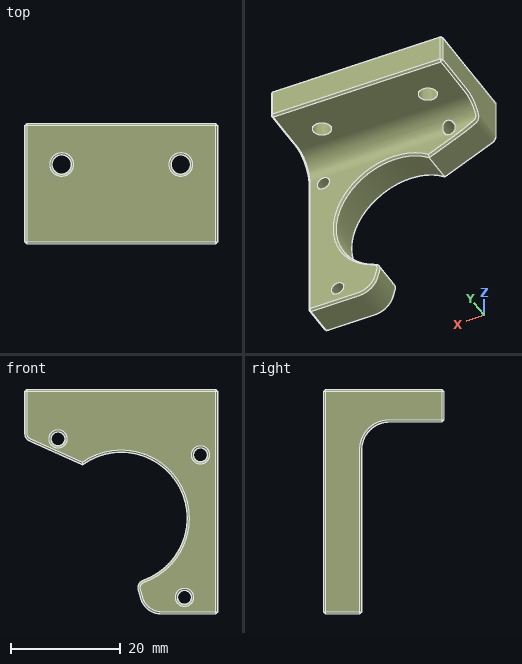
import cadquery as cq
import math

width = 35.2
depth = 22.0
height = 41.0
flange_thickness = 6.0
plate_thickness = 7.0
inner_fillet = 5.0
edge_chamfer = 0.4
blend_cosine = 0.99

bore_x = width / 2
bore_z = 17.5
bore_radius = 12.0
upper_tip_angle = math.radians(126)
lower_tip_angle = math.radians(283)

shoulder_z = 32.0
shoulder_fillet = 1.48
heel_x = 21.95
heel_fillet = 4.0
lip_fillet = 1.48

plate_hole_circle = 18.5
plate_hole_diameter = 2.5
plate_hole_angles = (-51.4, 38.6, 128.6)

flange_hole_diameter = 3.5
flange_hole_spacing = 21.75
flange_hole_y = 14.5

hole_chamfer = 0.4


def bore_point(angle):
    """Point on the bore wall, as (x, z)."""
    return (bore_x + bore_radius * math.cos(angle), bore_z + bore_radius * math.sin(angle))


def side_profile():
    """L-shaped section of flange and plate, extruded across the width."""
    flange_bottom = height - flange_thickness
    section = (
        cq.Workplane("YZ")
        .polyline([
            (0, 0),
            (plate_thickness, 0),
            (plate_thickness, flange_bottom),
            (depth, flange_bottom),
            (depth, height),
            (0, height),
        ])
        .close()
        .extrude(width)
    )
    inner_corner = cq.selectors.NearestToPointSelector((width / 2, plate_thickness, flange_bottom))
    return section.edges(inner_corner).fillet(inner_fillet)


def front_profile():
    """Hook-shaped outline with the open bore, extruded through the depth."""
    upper_tip = bore_point(upper_tip_angle)
    lower_tip = bore_point(lower_tip_angle)
    outline = (
        cq.Workplane("XZ")
        .moveTo(0, height)
        .lineTo(0, shoulder_z)
        .lineTo(*upper_tip)
        .threePointArc(bore_point(0), lower_tip)
        .lineTo(heel_x, 0)
        .lineTo(width, 0)
        .lineTo(width, height)
        .close()
        .extrude(-depth)
    )
    rounded_corners = (
        ((0, shoulder_z), shoulder_fillet),
        (lower_tip, lip_fillet),
        ((heel_x, 0), heel_fillet),
    )
    for (x, z), radius in rounded_corners:
        corner = cq.selectors.NearestToPointSelector((x, depth / 2, z))
        outline = outline.edges("|Y").edges(corner).fillet(radius)
    return outline


def is_sharp(edge, faces):
    """True where the two faces sharing an edge meet at an angle instead of blending."""
    middle = edge.positionAt(0.5)
    first, second = [
        face.normalAt(middle)
        for face in faces
        if any(edge.isSame(border) for border in face.Edges())
    ]
    return first.dot(second) < blend_cosine


def break_edges(body):
    """Chamfer every sharp edge except the upper tip of the bore mouth."""
    tip_x, tip_z = bore_point(upper_tip_angle)
    tip = cq.selectors.NearestToPointSelector((tip_x, plate_thickness / 2, tip_z))
    tip_edge = body.edges("|Y").edges(tip).val()
    faces = body.faces().vals()
    sharp_edges = [
        edge for edge in body.edges().vals()
        if is_sharp(edge, faces) and not edge.isSame(tip_edge)
    ]
    return body.newObject(sharp_edges).chamfer(edge_chamfer)


def chamfered_hole(plane, diameter, length):
    """Cutter for a hole with a chamfer at its mouth."""
    radius = diameter / 2
    cone = cq.Solid.makeCone(
        radius + hole_chamfer, radius, hole_chamfer, plane.origin, plane.zDir
    )
    return cq.Workplane(plane).circle(radius).extrude(length).union(cq.Workplane(cone))


body = break_edges(side_profile().intersect(front_profile()))

for angle in plate_hole_angles:
    x = bore_x + plate_hole_circle * math.cos(math.radians(angle))
    z = bore_z + plate_hole_circle * math.sin(math.radians(angle))
    plane = cq.Plane(origin=(x, 0, z), xDir=(1, 0, 0), normal=(0, 1, 0))
    body = body.cut(chamfered_hole(plane, plate_hole_diameter, depth))

for side in (-1, 1):
    x = width / 2 + side * flange_hole_spacing / 2
    plane = cq.Plane(origin=(x, flange_hole_y, height), xDir=(1, 0, 0), normal=(0, 0, -1))
    body = body.cut(chamfered_hole(plane, flange_hole_diameter, height))

result = body